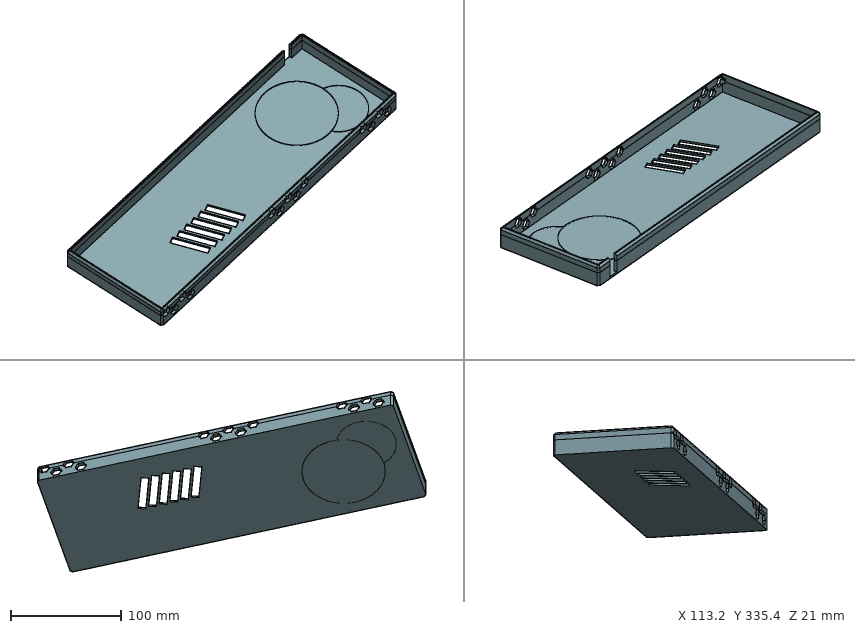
import cadquery as cq
import math

length_x = 113.17
length_y = 335.4
height = 21.0
wall = 3.0
floor_thickness = 2.0
edge_chamfer = 2.0
split_z = 14.0

notch_width = 10.0
notch_end_distance = 22.4
notch_center_y = length_y / 2 - notch_end_distance

hex_sides = 6
hex_across_flats = 9.0
hex_diameter = hex_across_flats / math.cos(math.pi / hex_sides)
hex_column_pitch = 11.6
hex_low_z = 7.2
hex_high_z = 14.7
vent_groups = [
    (154.2, 4, False),
    (35.9, 5, True),
    (-126.4, 4, False),
]

slot_count = 6
slot_length = 36.5
slot_width = 7.0
slot_pitch = 10.0
slot_angle = 20.0
slot_x = 16.0
slot_top_y = -28.7

inlay_depth = 1.0
large_disc_diameter = 75.59
large_disc_center = (-8.6, 103.0)
small_disc_diameter = 54.7
small_disc_center = (17.0, 131.5)


def make_shell():
    """Open-topped box with chamfered upright corners and a chamfered outer top edge."""
    outer = cq.Workplane("XY").box(length_x, length_y, height, centered=(True, True, False))
    outer = outer.edges("|Z").chamfer(edge_chamfer)
    outer = outer.faces(">Z").edges().chamfer(edge_chamfer)
    cavity = (
        cq.Workplane("XY")
        .workplane(offset=floor_thickness)
        .rect(length_x - 2 * wall, length_y - 2 * wall)
        .extrude(height)
    )
    return outer.cut(cavity)


def make_notch():
    """Opening in the -X wall, from the top edge down to the floor."""
    return (
        cq.Workplane("XY")
        .workplane(offset=floor_thickness)
        .center(-length_x / 2, notch_center_y)
        .rect(2 * wall, notch_width)
        .extrude(height)
    )


def make_vents():
    """Two staggered rows of hexagonal holes, in groups along the +X wall."""
    centers = []
    for first_y, columns, starts_high in vent_groups:
        for column in range(columns):
            is_high = (column % 2 == 0) == starts_high
            hole_z = hex_high_z if is_high else hex_low_z
            centers.append((first_y - column * hex_column_pitch, hole_z))
    return (
        cq.Workplane("YZ")
        .workplane(offset=length_x / 2 - 2 * wall)
        .pushPoints(centers)
        .polygon(hex_sides, hex_diameter)
        .extrude(3 * wall)
    )


def make_slots():
    """Column of parallel slanted slots."""
    centers = [(slot_x, slot_top_y - index * slot_pitch) for index in range(slot_count)]
    slot = (
        cq.Workplane("XY")
        .rect(slot_length, slot_width)
        .extrude(floor_thickness)
        .rotate((0, 0, 0), (0, 0, 1), slot_angle)
    )
    return cq.Workplane("XY").pushPoints(centers).eachpoint(slot.val(), combine=False)


def make_disc(center, diameter):
    """Disc whose top face is flush with the floor."""
    return (
        cq.Workplane("XY")
        .workplane(offset=floor_thickness - inlay_depth)
        .center(*center)
        .circle(diameter / 2)
        .extrude(inlay_depth)
    )


large_disc = make_disc(large_disc_center, large_disc_diameter)
crescent = make_disc(small_disc_center, small_disc_diameter).cut(large_disc)

walls = make_shell().cut(make_notch()).cut(make_vents())
lower_zone = cq.Workplane("XY").box(length_x, length_y, split_z, centered=(True, True, False))
tray = walls.intersect(lower_zone).cut(make_slots()).cut(large_disc).cut(crescent)
rim = walls.cut(lower_zone)

result = cq.Compound.makeCompound([tray.val(), rim.val(), large_disc.val(), crescent.val()])